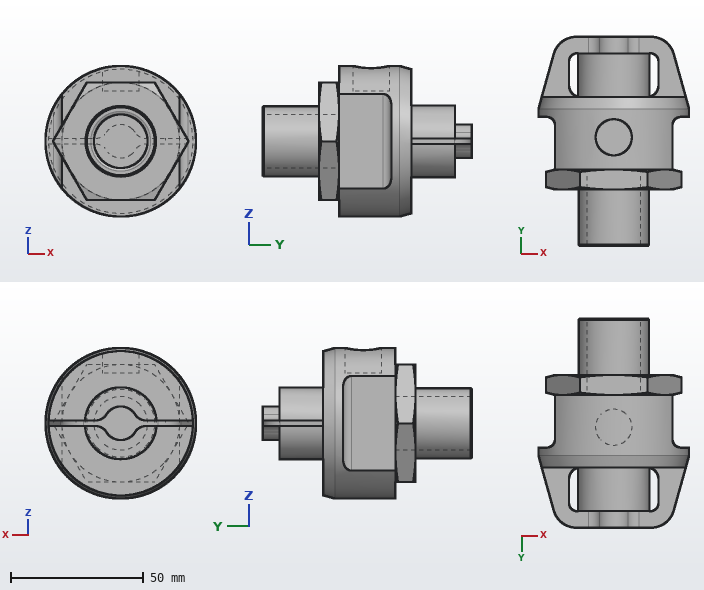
import cadquery as cq
import math

overall_length = 79.25

nut_front = 21.3
nut_back = 28.9
flat_end = 48.8
taper_start = 51.9
body_back = 56.35
neck_end = 72.9

body_radius = 57.1 / 2
taper_end_radius = 27.35
neck_radius = 27.3 / 2
tube_radius = 26.7 / 2
tube_chamfer = 0.5

bore_radius = 20.3 / 2
bore_depth = nut_back
bore_mouth_rounding = 1.2

across_flats = 44.5
nut_chamfer_angle = math.radians(15)
flat_fillet = 3.2

port_diameter = 13.7
port_y = 41.1
port_floor_z = 19.0

bail_thickness = 2.15
bail_base_half_width = taper_end_radius
bail_top_half_width = 20.9
bail_corner_radius = 9.0
window_half_width = 16.9
window_top_radius = 3.0
window_bottom_radius = 4.4

knob_radius = 12.75 / 2
knob_foot_half_width = 9.5


def cylinder_along_y(radius, start, end):
    """Solid cylinder on the Y axis between two stations."""
    return cq.Workplane("XZ", origin=(0, start, 0)).circle(radius).extrude(start - end)


def make_body():
    profile = [
        (0, nut_back),
        (body_radius, nut_back),
        (body_radius, taper_start),
        (taper_end_radius, body_back),
        (0, body_back),
    ]
    body = cq.Workplane("XY").polyline(profile).close().revolve(360, (0, 0, 0), (0, 1, 0))
    return body.cut(make_flat_cutter(1)).cut(make_flat_cutter(-1))


def make_flat_cutter(side):
    """Block that leaves a wrench flat with a filleted step at its rear end."""
    flat_x = across_flats / 2
    outer_x = body_radius + 0.8
    height = 2 * body_radius
    cutter = (
        cq.Workplane("XY")
        .box(outer_x - flat_x, flat_end - nut_back, height, centered=(False, False, True))
        .translate((flat_x, nut_back, 0))
        .edges("<X and >Y")
        .fillet(flat_fillet)
    )
    return cutter if side > 0 else cutter.mirror("YZ")


def make_nut():
    corner_radius = across_flats / math.sqrt(3)
    face_radius = across_flats / 2
    chamfer_length = (corner_radius - face_radius) * math.tan(nut_chamfer_angle)
    hexagon = (
        cq.Workplane("XZ", origin=(0, nut_front, 0))
        .polygon(6, 2 * corner_radius)
        .extrude(nut_front - nut_back)
    )
    envelope_profile = [
        (0, nut_front),
        (face_radius, nut_front),
        (corner_radius, nut_front + chamfer_length),
        (corner_radius, nut_back - chamfer_length),
        (face_radius, nut_back),
        (0, nut_back),
    ]
    envelope = cq.Workplane("XY").polyline(envelope_profile).close().revolve(360, (0, 0, 0), (0, 1, 0))
    return hexagon.intersect(envelope)


def make_tube():
    return cylinder_along_y(tube_radius, 0, nut_front).faces("<Y").chamfer(tube_chamfer)


def make_bore():
    """Bore cutter that flares out at the mouth along a quarter round."""
    flare = bore_mouth_rounding
    arc_offset = flare * (1 - math.sqrt(0.5))
    return (
        cq.Workplane("XY")
        .moveTo(0, 0)
        .lineTo(bore_radius + flare, 0)
        .threePointArc((bore_radius + arc_offset, arc_offset), (bore_radius, flare))
        .lineTo(bore_radius, bore_depth)
        .lineTo(0, bore_depth)
        .close()
        .revolve(360, (0, 0, 0), (0, 1, 0))
    )


def make_port():
    return (
        cq.Workplane("XY", origin=(0, port_y, port_floor_z))
        .circle(port_diameter / 2)
        .extrude(body_radius)
    )


def make_bail():
    outline = [
        (-bail_base_half_width, body_back),
        (bail_base_half_width, body_back),
        (bail_top_half_width, overall_length),
        (-bail_top_half_width, overall_length),
    ]
    plate = (
        cq.Workplane("XY", origin=(0, 0, -bail_thickness / 2))
        .polyline(outline)
        .close()
        .extrude(bail_thickness)
        .edges("|Z and >Y")
        .fillet(bail_corner_radius)
    )
    window = (
        cq.Workplane("XY")
        .box(2 * window_half_width, neck_end - body_back, bail_thickness, centered=(True, False, True))
        .translate((0, body_back, 0))
        .edges("|Z and >Y")
        .fillet(window_top_radius)
        .edges("|Z and <Y")
        .fillet(window_bottom_radius)
    )
    return plate.cut(window)


def make_knob():
    """Round knob whose concave blends meet the bail faces tangentially."""
    foot_x = knob_foot_half_width
    foot_z = bail_thickness / 2
    blend_radius = (foot_x**2 + foot_z**2 - knob_radius**2) / (2 * (knob_radius - foot_z))
    blend_z = foot_z + blend_radius
    blend_angle = math.atan2(blend_z, foot_x)
    touch_x = knob_radius * math.cos(blend_angle)
    touch_z = knob_radius * math.sin(blend_angle)
    middle_angle = (blend_angle + math.pi / 2) / 2
    middle_x = foot_x - blend_radius * math.cos(middle_angle)
    middle_z = blend_z - blend_radius * math.sin(middle_angle)
    return (
        cq.Workplane("XZ", origin=(0, neck_end, 0))
        .moveTo(foot_x, -foot_z)
        .lineTo(foot_x, foot_z)
        .threePointArc((middle_x, middle_z), (touch_x, touch_z))
        .threePointArc((0, knob_radius), (-touch_x, touch_z))
        .threePointArc((-middle_x, middle_z), (-foot_x, foot_z))
        .lineTo(-foot_x, -foot_z)
        .threePointArc((-middle_x, -middle_z), (-touch_x, -touch_z))
        .threePointArc((0, -knob_radius), (touch_x, -touch_z))
        .threePointArc((middle_x, -middle_z), (foot_x, -foot_z))
        .close()
        .extrude(neck_end - overall_length)
    )


neck = cylinder_along_y(neck_radius, body_back, neck_end)

result = (
    make_body()
    .union(make_nut())
    .union(make_tube())
    .union(neck)
    .union(make_bail())
    .union(make_knob())
    .cut(make_bore())
    .cut(make_port())
)